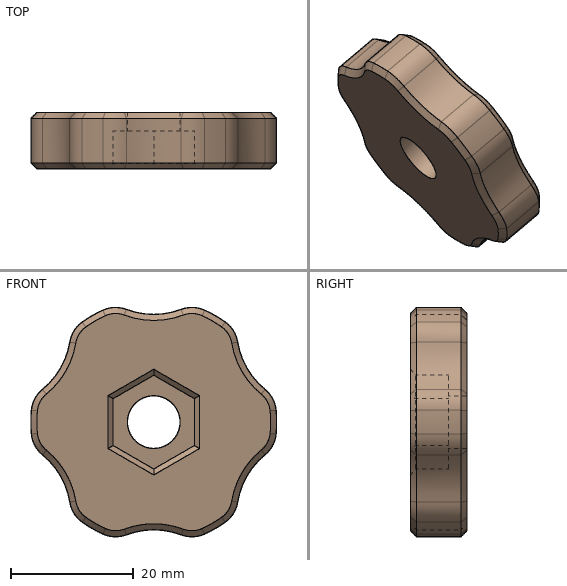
import cadquery as cq
import math

outer_radius = 20.0
thickness = 9.2
edge_chamfer = 1.0

scallop_count = 6
scallop_radius = 12.5
scallop_floor_radius = 17.5
lobe_blend_radius = 5.0

hole_diameter = 8.5
nut_flats = 13.2
nut_depth = 6.2
nut_chamfer = 0.85

scallop_step = 360.0 / scallop_count
scallop_center_radius = scallop_floor_radius + scallop_radius


def polar(radius, angle):
    """Point at a radius and an angle in degrees."""
    radians = math.radians(angle)
    return (radius * math.cos(radians), radius * math.sin(radians))


def lobed_outline():
    """Sketch of the scalloped outline, built from tangent arcs."""
    blend_center_radius = outer_radius - lobe_blend_radius
    center_spacing = scallop_radius + lobe_blend_radius
    blend_offset = math.degrees(math.acos(
        (scallop_center_radius**2 + blend_center_radius**2 - center_spacing**2)
        / (2 * scallop_center_radius * blend_center_radius)
    ))

    def blend_points(scallop_angle, side):
        """Scallop tangent, middle and rim tangent of one blend arc."""
        rim_angle = scallop_angle + side * blend_offset
        scallop_x, scallop_y = polar(scallop_center_radius, scallop_angle)
        center_x, center_y = polar(blend_center_radius, rim_angle)
        toward_scallop = math.degrees(math.atan2(scallop_y - center_y, scallop_x - center_x))
        turn = (rim_angle - toward_scallop + 180) % 360 - 180
        points = []
        for angle in (toward_scallop, toward_scallop + turn / 2, rim_angle):
            offset_x, offset_y = polar(lobe_blend_radius, angle)
            points.append((center_x + offset_x, center_y + offset_y))
        return points

    first_scallop_angle = scallop_step / 2
    start = blend_points(first_scallop_angle, -1)[2]
    outline = cq.Workplane("XZ").moveTo(*start)
    for index in range(scallop_count):
        angle = first_scallop_angle + index * scallop_step
        scallop_start, entry_middle, _ = blend_points(angle, -1)
        scallop_end, exit_middle, rim_start = blend_points(angle, 1)
        rim_end = blend_points(angle + scallop_step, -1)[2]
        outline = (
            outline
            .threePointArc(entry_middle, scallop_start)
            .threePointArc(polar(scallop_floor_radius, angle), scallop_end)
            .threePointArc(exit_middle, rim_start)
            .threePointArc(polar(outer_radius, angle + scallop_step / 2), rim_end)
        )
    return outline.close()


def knob_body():
    """Lobed disc from Y = 0 to Y = thickness, chamfered on both faces."""
    return lobed_outline().extrude(-thickness).faces("<Y or >Y").chamfer(edge_chamfer)


def hexagon(flats):
    """Hexagon on the Y = 0 face with corners pointing along Z."""
    corner_diameter = flats / math.cos(math.pi / 6)
    return cq.Workplane("XZ").transformed(rotate=(0, 0, 90)).polygon(6, corner_diameter)


def nut_pocket():
    """Hexagonal pocket with a 45 degree lead-in at its mouth."""
    straight = hexagon(nut_flats).extrude(-nut_depth)
    lead_in = hexagon(nut_flats + 2 * nut_chamfer).extrude(-nut_chamfer, taper=45)
    return straight.union(lead_in)


screw_hole = cq.Workplane("XZ").circle(hole_diameter / 2).extrude(-thickness)

result = knob_body().cut(nut_pocket()).cut(screw_hole)